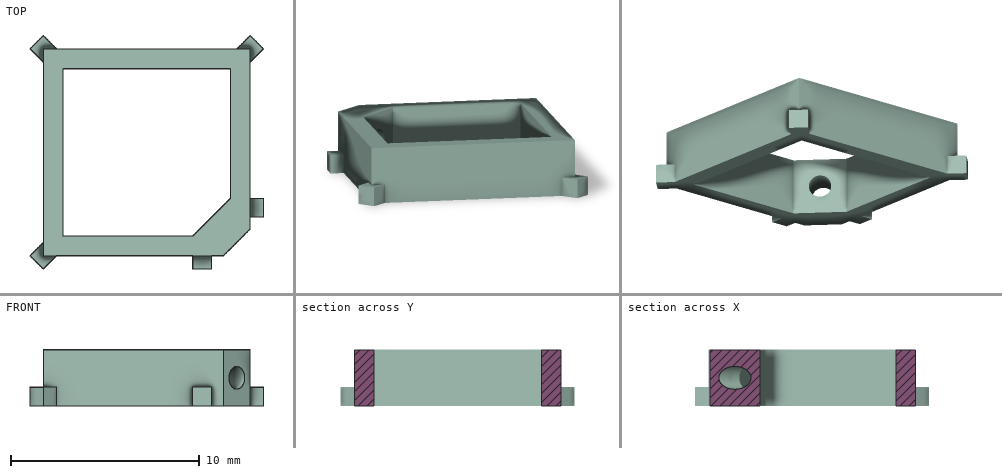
import cadquery as cq
import math

overall_width = 12.41
frame_height = 3.0
wall = 1.05
tab_size = 1.0
opening_chamfer = 2.0
hole_diameter = 1.19

tab_reach = tab_size / math.sqrt(2)
frame_width = overall_width - 2 * tab_reach
half_frame = frame_width / 2
half_opening = half_frame - wall
frame_chamfer = 2 * tab_reach
side_tab_center = half_opening - opening_chamfer + tab_size / 2


def cut_corner_block(half_width, chamfer):
    """Square block with its +X -Y corner cut at 45 degrees."""
    block = cq.Workplane("XY").rect(2 * half_width, 2 * half_width).extrude(frame_height)
    return block.edges("|Z and >X and <Y").chamfer(chamfer)


def tab(x, y, length_x, length_y, angle=0):
    """Low rectangular tab standing on the base plane."""
    block = cq.Workplane("XY").rect(length_x, length_y).extrude(tab_size)
    return block.rotate((0, 0, 0), (0, 0, 1), angle).translate((x, y, 0))


frame = cut_corner_block(half_frame, frame_chamfer)
opening = cut_corner_block(half_opening, opening_chamfer)

for x_side, y_side in ((-1, -1), (-1, 1), (1, 1)):
    frame = frame.union(tab(x_side * half_frame, y_side * half_frame, tab_size, tab_size, 45))

frame = frame.union(tab(side_tab_center, -half_frame, tab_size, 2 * tab_reach))
frame = frame.union(tab(half_frame, -side_tab_center, 2 * tab_reach, tab_size))

hole_axis = cq.Vector(1, -1, 0)
hole_start = cq.Vector(0, 0, frame_height / 2)
hole = cq.Workplane(
    obj=cq.Solid.makeCylinder(hole_diameter / 2, overall_width, hole_start, hole_axis)
)

result = frame.cut(opening).cut(hole)